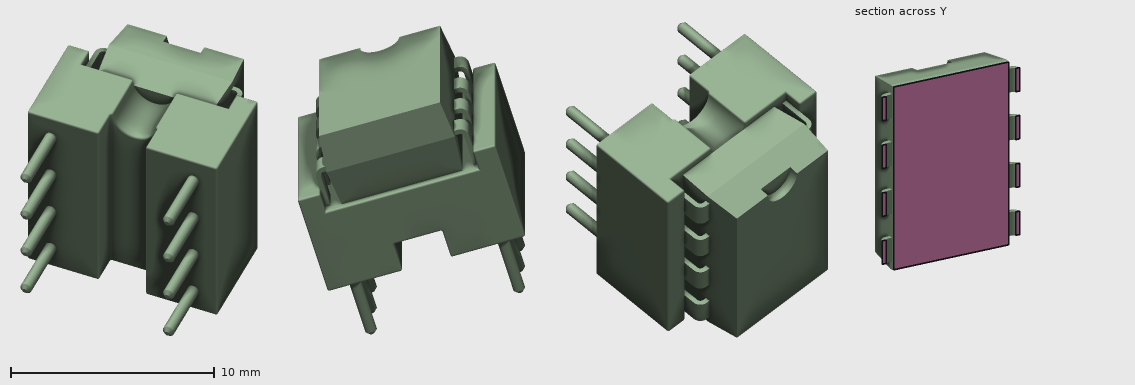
import cadquery as cq

OVERALL_HEIGHT = 11.26

SOCKET_SIZE = 10.16
SOCKET_HEIGHT = 5.15
SEAT_HEIGHT = 4.13
SEAT_WIDTH = 7.86
CHANNEL_WIDTH = 2.5
CHANNEL_DEPTH = 1.5
EDGE_RADIUS = 0.1
NOTCH_RADIUS = CHANNEL_WIDTH / 2 - EDGE_RADIUS

PINS_PER_ROW = 4
PITCH = SOCKET_SIZE / PINS_PER_ROW
ROW_SPACING = 3 * PITCH

PIN_DIAMETER = 0.6
PIN_LENGTH = 3.3
PIN_CHAMFER = 0.18

CHIP_TOP = OVERALL_HEIGHT - PIN_LENGTH
CHIP_PARTING = 6.08
CHIP_WIDTH = 6.6
CHIP_LENGTH = 9.78
CHIP_TAPER_X = 0.19
CHIP_TAPER_Z = 0.23
MARK_RADIUS = 1.0
MARK_DEPTH = 0.5

LEAD_SPAN = SEAT_WIDTH
LEAD_THICKNESS = 0.25
LEAD_WIDTH = PITCH / 2
LEAD_INNER_RADIUS = 0.2
LEAD_OUTER_RADIUS = LEAD_INNER_RADIUS + LEAD_THICKNESS

row_z = [(i - (PINS_PER_ROW - 1) / 2) * PITCH for i in range(PINS_PER_ROW)]


def make_pin(x, z):
    """Round pin hanging below the housing, with a chamfered tip."""
    return (
        cq.Workplane("XZ", origin=(x, 0, z))
        .circle(PIN_DIAMETER / 2)
        .extrude(PIN_LENGTH)
        .faces("<Y")
        .chamfer(PIN_CHAMFER)
    )


def make_socket():
    """Housing with chip seat, underside channel, end notch and two pin rows."""
    half = SOCKET_SIZE / 2
    half_seat = SEAT_WIDTH / 2
    half_channel = CHANNEL_WIDTH / 2
    profile = [
        (-half, 0),
        (-half_channel, 0),
        (-half_channel, CHANNEL_DEPTH),
        (half_channel, CHANNEL_DEPTH),
        (half_channel, 0),
        (half, 0),
        (half, SOCKET_HEIGHT),
        (half_seat, SOCKET_HEIGHT),
        (half_seat, SEAT_HEIGHT),
        (-half_seat, SEAT_HEIGHT),
        (-half_seat, SOCKET_HEIGHT),
        (-half, SOCKET_HEIGHT),
    ]
    block = cq.Workplane("XY").polyline(profile).close().extrude(half, both=True)
    rounded = [
        edge for edge in block.edges("|Z").vals()
        if abs(edge.Center().y - SEAT_HEIGHT) > EDGE_RADIUS
    ]
    body = block.newObject(rounded).fillet(EDGE_RADIUS)

    notch = cq.Workplane("XZ", origin=(0, 0, half)).circle(NOTCH_RADIUS).extrude(-SOCKET_HEIGHT)
    body = body.cut(notch)

    end_outlines = body.faces("<Z or >Z").edges().vals()
    notch_rims = body.edges("%CIRCLE").edges(cq.selectors.RadiusNthSelector(-1)).vals()
    body = body.newObject(end_outlines + notch_rims).fillet(EDGE_RADIUS)

    for z in row_z:
        for x in (-ROW_SPACING / 2, ROW_SPACING / 2):
            body = body.union(make_pin(x, z))
    return body


def chip_half(end_level):
    """Half of the package, tapering from the parting plane to end_level."""
    return (
        cq.Workplane("XZ", origin=(0, CHIP_PARTING, 0))
        .rect(CHIP_WIDTH, CHIP_LENGTH)
        .workplane(offset=CHIP_PARTING - end_level)
        .rect(CHIP_WIDTH - 2 * CHIP_TAPER_X, CHIP_LENGTH - 2 * CHIP_TAPER_Z)
        .loft(ruled=True)
    )


def make_lead(z):
    """Bent strip leaving the package at +X and standing on the seat."""
    outer = LEAD_SPAN / 2
    inner = outer - LEAD_THICKNESS
    top = CHIP_PARTING + LEAD_THICKNESS / 2
    bend_x = outer - LEAD_OUTER_RADIUS
    bend_y = top - LEAD_OUTER_RADIUS
    root_x = CHIP_WIDTH / 2 - CHIP_TAPER_X
    return (
        cq.Workplane("XY", origin=(0, 0, z - LEAD_WIDTH / 2))
        .moveTo(root_x, top)
        .lineTo(bend_x, top)
        .radiusArc((outer, bend_y), LEAD_OUTER_RADIUS)
        .lineTo(outer, SEAT_HEIGHT)
        .lineTo(inner, SEAT_HEIGHT)
        .lineTo(inner, bend_y)
        .radiusArc((bend_x, top - LEAD_THICKNESS), -LEAD_INNER_RADIUS)
        .lineTo(root_x, top - LEAD_THICKNESS)
        .close()
        .extrude(LEAD_WIDTH)
    )


def make_chip():
    """Two-way tapered package with its orientation mark and two lead rows."""
    package = chip_half(CHIP_TOP).union(chip_half(SEAT_HEIGHT))
    mark = (
        cq.Workplane("XZ", origin=(0, CHIP_TOP, CHIP_LENGTH / 2 - CHIP_TAPER_Z))
        .circle(MARK_RADIUS)
        .extrude(MARK_DEPTH)
    )
    package = package.cut(mark)
    for z in row_z:
        lead = make_lead(z)
        package = package.union(lead).union(lead.mirror("YZ"))
    return package


socket = make_socket()
chip = make_chip()
result = cq.Compound.makeCompound([socket.val(), chip.val()])